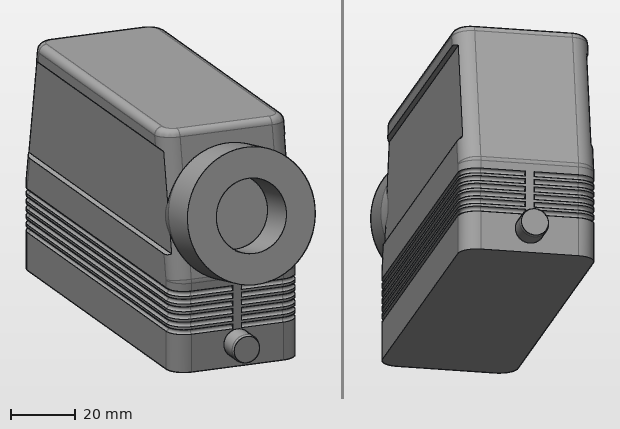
import cadquery as cq
import math

overall_length = 142.7

body_length = 120.2
body_width = 43.0
body_height = 76.0
bend_height = 29.5
wall_lean = 11.3
bend_radius = 6.5
corner_radius = 6.0
top_radius = 2.5

recess_depth = 1.1
recess_bottom = 37.0
recess_top = 70.1
recess_bevel_height = 0.9

groove_count = 6
first_groove_height = 13.1
last_groove_height = 25.5
groove_radius = 0.79
groove_gap = 2.9

pin_diameter = 9.1
pin_height = 7.5
pin_tip = 67.5
pin_bevel_length = 1.0
pin_bevel_depth = 0.3

collar_diameter = 43.0
collar_base_height = 49.1
bore_diameter = 23.5
neck_length = 8.5
neck_end_diameter = 39.3

lean = math.radians(wall_lean)
half_length = body_length / 2
half_width = body_width / 2


def wall_x(height):
    """X of the leaning +X end wall at a given height."""
    return half_length - (height - bend_height) * math.tan(lean)


def make_body():
    top_x = wall_x(body_height)
    profile = [
        (-half_length, 0),
        (half_length, 0),
        (half_length, bend_height),
        (top_x, body_height),
        (-top_x, body_height),
        (-half_length, bend_height),
    ]
    body = cq.Workplane("XZ").polyline(profile).close().extrude(half_width, both=True)

    body = body.edges("|Y exc (<Z or >Z)").fillet(bend_radius)
    body = body.faces("<Y or >Y").edges("not(<Z or >Z)").fillet(corner_radius)
    return body.faces(">Z").edges().fillet(top_radius)


def make_recess(side):
    """Bevelled channel along the -Y (side = -1) or +Y (side = 1) wall."""
    outer_y = side * half_width
    inner_y = side * (half_width - recess_depth)
    section = [
        (outer_y, recess_bottom),
        (inner_y, recess_bottom + recess_bevel_height),
        (inner_y, recess_top - recess_bevel_height),
        (outer_y, recess_top),
    ]
    return cq.Workplane("YZ").polyline(section).close().extrude(half_length, both=True)


def make_groove(height, side):
    """Half-round groove around one half of the hood, between the plain end strips."""
    strip_y = side * groove_gap / 2
    corner_y = side * (half_width - corner_radius)
    wall_y = side * half_width
    corner_x = half_length - corner_radius
    arc_inset = corner_radius * (1 - math.sqrt(0.5))
    arc_x = half_length - arc_inset
    arc_y = side * (half_width - arc_inset)
    path = (
        cq.Workplane("XY", origin=(0, 0, height))
        .moveTo(-half_length, strip_y)
        .lineTo(-half_length, corner_y)
        .threePointArc((-arc_x, arc_y), (-corner_x, wall_y))
        .lineTo(corner_x, wall_y)
        .threePointArc((arc_x, arc_y), (half_length, corner_y))
        .lineTo(half_length, strip_y)
    )
    start = cq.Workplane("XZ", origin=(-half_length, strip_y, height))
    return start.circle(groove_radius).sweep(path)


def make_pins():
    """One turned bar with bevelled ends, passing through the hood."""
    radius = pin_diameter / 2
    shoulder = pin_tip - pin_bevel_length
    tip_radius = radius - pin_bevel_depth
    outline = [
        (-pin_tip, 0),
        (-pin_tip, tip_radius),
        (-shoulder, radius),
        (shoulder, radius),
        (pin_tip, tip_radius),
        (pin_tip, 0),
    ]
    bar = cq.Workplane("XZ").polyline(outline).close().revolve(360, (0, 0, 0), (1, 0, 0))
    return bar.translate((0, 0, pin_height))


collar_base_x = wall_x(collar_base_height)
collar_mouth_x = overall_length - pin_tip - collar_diameter / 2 * math.sin(lean)
collar_length = (collar_mouth_x - collar_base_x) / math.cos(lean)

collar_plane = cq.Plane(
    origin=(collar_base_x, 0, collar_base_height),
    xDir=(0, 1, 0),
    normal=(math.cos(lean), 0, math.sin(lean)),
)


def make_collar():
    collar = cq.Workplane(collar_plane).circle(collar_diameter / 2).extrude(collar_length)
    neck = (
        cq.Workplane(collar_plane)
        .circle(collar_diameter / 2)
        .workplane(offset=-neck_length)
        .circle(neck_end_diameter / 2)
        .loft()
    )
    return collar.union(neck)


def make_bore():
    return cq.Workplane(collar_plane).circle(bore_diameter / 2).extrude(collar_length)


groove_pitch = (last_groove_height - first_groove_height) / (groove_count - 1)

result = make_body()
for side in (-1, 1):
    result = result.cut(make_recess(side))
    for index in range(groove_count):
        groove_height = first_groove_height + index * groove_pitch
        result = result.cut(make_groove(groove_height, side))

result = result.union(make_pins()).union(make_collar()).cut(make_bore())